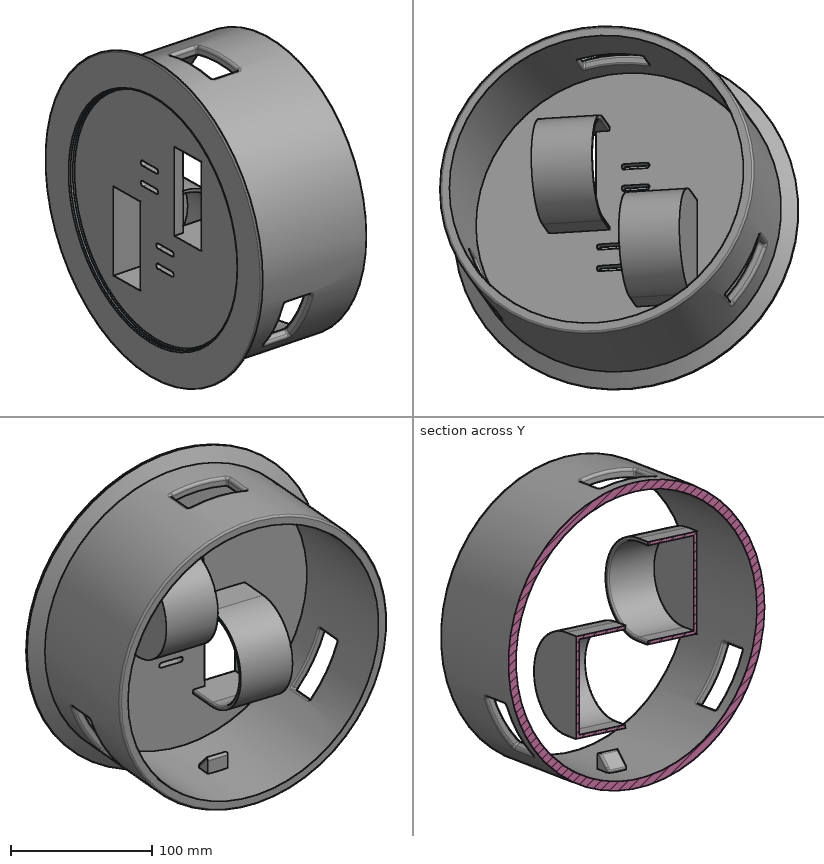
import cadquery as cq
import math

flange_radius = 124.3
shell_radius = 113.3
shell_wall = 7.2
shell_length = 104.0
rim_back = 2.0
flange_back = 8.2
front_fillet = 0.7
back_fillet = 1.5
shell_bore = shell_radius - shell_wall

plate_radius = 96.2
plate_recess = 4.0
plate_thickness = 8.0
recess_fillet = 1.0
plate_back = plate_recess + plate_thickness

scoop_radius = 35.0
scoop_wall = 3.0
scoop_axis_y = 35.3
scoop_center_z = 29.0
opening_inner_x = 19.6
opening_outer_x = 50.5
scoop_mouth_x = 9.7
mouth_fillet = 1.2

slot_length = 20.0
slot_height = 4.0
slot_x = 9.0
slot_levels = (21.1, 37.0)

window_width = 47.7
window_height = 23.4
window_y = 46.0
window_corner = 1.2
window_fillet = 2.2
window_inner_fillet = 1.2
window_angles = (0, 120, 240)

block_width = 17.0
block_front_y = 45.5
block_step = 2.0
block_height = 15.0
block_fillet = 1.7
block_corner = 2.2
block_embed = 3.0

AXIS_START = (0, 0, 0)
AXIS_END = (0, 1, 0)
TOLERANCE = 0.02


def make_shell():
    """Revolved shell, flange and face plate."""
    profile = (
        cq.Workplane("XY")
        .moveTo(0, plate_recess)
        .lineTo(plate_radius - recess_fillet, plate_recess)
        .radiusArc((plate_radius, plate_recess - recess_fillet), -recess_fillet)
        .lineTo(plate_radius, recess_fillet)
        .radiusArc((plate_radius + recess_fillet, 0), recess_fillet)
        .lineTo(flange_radius - front_fillet, 0)
        .radiusArc((flange_radius, front_fillet), -front_fillet)
        .lineTo(flange_radius, rim_back)
        .lineTo(shell_radius, flange_back)
        .lineTo(shell_radius, shell_length - back_fillet)
        .radiusArc((shell_radius - back_fillet, shell_length), -back_fillet)
        .lineTo(shell_bore, shell_length)
        .lineTo(shell_bore, plate_back)
        .lineTo(0, plate_back)
        .close()
    )
    return profile.revolve(360, AXIS_START, AXIS_END)


def window_rim(body, radius):
    """Window edges that lie on the cylinder of the given radius."""
    def on_rim(edge):
        points = [edge.positionAt(t) for t in (0, 0.5, 1)]
        return all(
            abs(math.hypot(p.x, p.z) - radius) < TOLERANCE
            and abs(p.y - window_y) < window_height / 2 + TOLERANCE
            for p in points
        )

    return body.newObject([edge for edge in body.edges().vals() if on_rim(edge)])


def cut_windows(body):
    """Windows cut radially through the shell, rounded outside and inside."""
    for angle in window_angles:
        cutter = (
            cq.Workplane("XY")
            .center(0, window_y)
            .rect(window_width, window_height)
            .extrude(flange_radius)
            .edges("|Z")
            .fillet(window_corner)
            .rotate(AXIS_START, AXIS_END, angle)
        )
        body = body.cut(cutter)
    body = window_rim(body, shell_radius).fillet(window_fillet)
    return window_rim(body, shell_bore).fillet(window_inner_fillet)


def u_prism(radius, front_y, x_start, x_end):
    """Prism along X: straight sides from front_y, closed by a half round at the back."""
    return (
        cq.Workplane("YZ", origin=(x_start, 0, scoop_center_z))
        .moveTo(front_y, -radius)
        .lineTo(scoop_axis_y, -radius)
        .threePointArc((scoop_axis_y + radius, 0), (scoop_axis_y, radius))
        .lineTo(front_y, radius)
        .close()
        .extrude(x_end - x_start)
    )


def make_scoop():
    """Scoop with a closed outer end and an open inner end, rounded inside its mouth."""
    outer_radius = scoop_radius + scoop_wall
    outside = u_prism(outer_radius, plate_recess, scoop_mouth_x, opening_outer_x + scoop_wall)
    cavity = u_prism(scoop_radius, plate_back, scoop_mouth_x, opening_outer_x)
    scoop = outside.cut(cavity)
    mouth_edges = scoop.faces("<X").val().innerWires()[0].Edges()
    return scoop.newObject(mouth_edges).fillet(mouth_fillet)


def add_scoops(body):
    """Two scoops behind the plate, each with its opening through the plate."""
    scoop = make_scoop()
    opening = u_prism(scoop_radius, 0, opening_inner_x, opening_outer_x)
    for angle in (0, 180):
        body = body.union(scoop.rotate(AXIS_START, AXIS_END, angle))
        body = body.cut(opening.rotate(AXIS_START, AXIS_END, angle))
    return body


def cut_slots(body):
    """A pair of slots above and a pair below the middle, beside the scoops."""
    for level in slot_levels:
        for side in (-1, 1):
            slot = (
                cq.Workplane("XZ")
                .center(side * slot_x, -side * level)
                .slot2D(slot_length, slot_height)
                .extrude(-plate_back)
            )
            body = body.cut(slot)
    return body


def add_block(body):
    """Sloped block with rounded upper edges."""
    floor_z = -shell_bore
    slope_run = block_height - block_step
    block = (
        cq.Workplane("YZ")
        .moveTo(block_front_y, floor_z - block_embed)
        .lineTo(block_front_y, floor_z + block_step)
        .lineTo(block_front_y + slope_run, floor_z + block_height)
        .lineTo(block_front_y + slope_run, floor_z - block_embed)
        .close()
        .extrude(block_width / 2, both=True)
        .faces("<Y")
        .edges("|Z")
        .fillet(block_corner)
    )
    slope_direction = cq.Vector(0, -1, 1)
    slope = block.faces(cq.selectors.DirectionMinMaxSelector(slope_direction))
    return body.union(slope.edges().fillet(block_fillet))


body = make_shell()
body = cut_windows(body)
body = add_scoops(body)
body = cut_slots(body)
result = add_block(body)